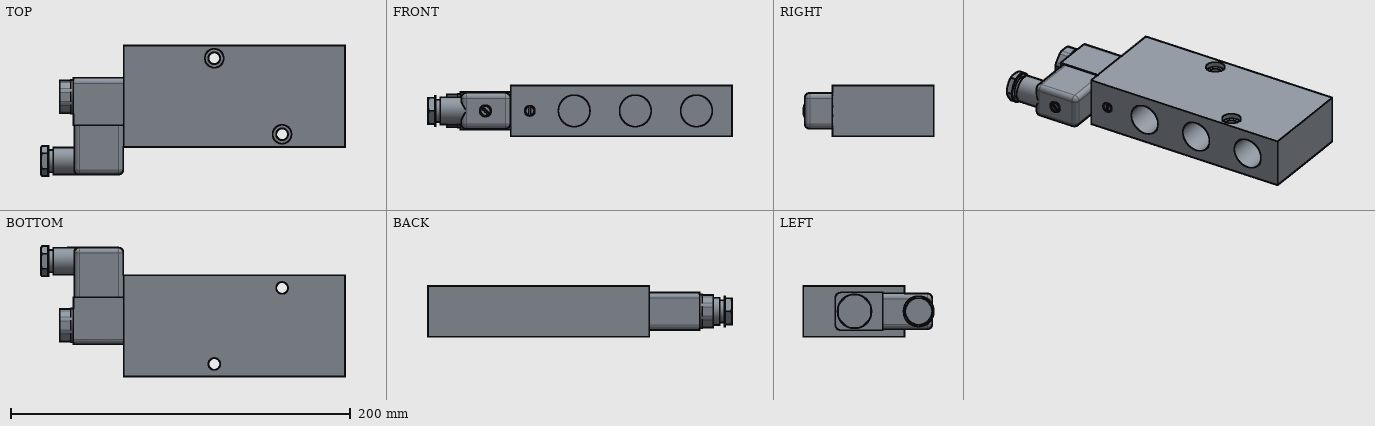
import cadquery as cq
import math


body_length = 130.3
body_width = 59.8
body_height = 30.0

port_radius = 9.3
port_depth = 21.5
port_pitch = 36.0
first_port_x = 37.5
port_count = 3

mount_hole_radius = 3.4
mount_bore_radius = 5.5
mount_bore_depth = 3.2
mount_edge_distance = 7.5
mount_hole_x = (53.3, 93.3)

coil_length = 29.5
coil_height = 22.2
coil_near_y = 12.9
coil_far_y = 40.8
coil_edge_radius = 3.2

nut_y = 29.5
nut_radius = 10.0
nut_flat_distance = 9.7
nut_flat_count = 8
nut_length = 6.6
nut_collar_length = 1.6

plug_length = 29.0
plug_gap = 0.2
plug_height = 21.1
plug_near_y = -16.3
plug_edge_radius = 3.0

gland_radius = 8.0
gland_end_x = -41.5
neck_radius = 6.6
neck_length = 2.5
washer_radius = 9.0
washer_length = 0.5
cap_end_x = -48.7
cap_side_count = 6
cap_face_radius = 7.9
cap_chamfer_angle = 30.0

screw_gap = 0.5
screw_slot_width = 1.0
screw_depth = 0.9
plug_screw_x = -14.9
plug_screw_radius = 3.4
plug_slot_angle = 45.0
body_screw_x = 11.3
body_screw_radius = 3.0
body_slot_angle = 90.0


def box(x_range, y_range, height):
    """Box spanning the given X and Y ranges, centred on mid-height."""
    (x0, x1), (y0, y1) = x_range, y_range
    return (
        cq.Workplane("XY")
        .box(x1 - x0, y1 - y0, height, centered=(False, False, True))
        .translate((x0, y0, 0))
    )


def rod(x0, x1, y, radius):
    """Cylinder along X at mid-height."""
    return cq.Workplane("YZ", origin=(x0, y, 0)).circle(radius).extrude(x1 - x0)


def make_body():
    body = box((0, body_length), (0, body_width), body_height)
    for i in range(port_count):
        port = (
            cq.Workplane("XZ", origin=(first_port_x + i * port_pitch, 0, 0))
            .circle(port_radius)
            .extrude(-port_depth)
        )
        body = body.cut(port)
    mount_hole_y = (body_width - mount_edge_distance, mount_edge_distance)
    return (
        body.faces(">Z")
        .workplane(origin=(0, 0, body_height / 2))
        .pushPoints(list(zip(mount_hole_x, mount_hole_y)))
        .cboreHole(2 * mount_hole_radius, 2 * mount_bore_radius, mount_bore_depth)
    )


def make_coil():
    coil = box((-coil_length, 0), (coil_near_y, coil_far_y), coil_height)
    return coil.edges("|X and >Y").fillet(coil_edge_radius)


def make_coil_nut():
    collar_x = -coil_length - nut_collar_length
    end_x = collar_x - nut_length
    octagon_diameter = 2 * nut_flat_distance / math.cos(math.pi / nut_flat_count)
    octagon = (
        cq.Workplane("YZ", origin=(end_x, nut_y, 0))
        .transformed(rotate=(0, 0, 180 / nut_flat_count))
        .polygon(nut_flat_count, octagon_diameter)
        .extrude(nut_length)
    )
    nut = rod(end_x, collar_x, nut_y, nut_radius).intersect(octagon)
    return nut.union(rod(collar_x, -coil_length, nut_y, nut_radius))


def make_plug():
    plug = box((-plug_gap - plug_length, -plug_gap), (plug_near_y, coil_near_y), plug_height)
    return plug.edges("<Y or |Y").fillet(plug_edge_radius)


def make_gland():
    gland_y = plug_near_y + gland_radius
    neck_end_x = gland_end_x - neck_length
    washer_end_x = neck_end_x - washer_length
    cap_length = washer_end_x - cap_end_x

    barrel = rod(gland_end_x, -plug_length / 2, gland_y, gland_radius)
    neck = rod(neck_end_x, gland_end_x, gland_y, neck_radius)
    washer = rod(washer_end_x, neck_end_x, gland_y, washer_radius)
    hexagon = (
        cq.Workplane("YZ", origin=(cap_end_x, gland_y, 0))
        .polygon(cap_side_count, 2 * washer_radius)
        .extrude(cap_length)
    )
    chamfer_width = washer_radius - cap_face_radius
    chamfer_depth = chamfer_width * math.tan(math.radians(cap_chamfer_angle))
    blank = (
        rod(cap_end_x, washer_end_x, gland_y, washer_radius)
        .faces("<X")
        .chamfer(chamfer_depth, chamfer_width)
    )
    return barrel.union(neck).union(washer).union(hexagon.intersect(blank))


def screw_recess(x, face_y, radius, slot_angle):
    """Material removed around and across a flush slotted screw head."""
    face = cq.Workplane("XZ", origin=(x, face_y, 0))
    ring = face.circle(radius).circle(radius - screw_gap).extrude(-screw_depth)
    slot = (
        face.transformed(rotate=(0, 0, slot_angle))
        .rect(2 * radius - screw_gap, screw_slot_width)
        .extrude(-screw_depth)
    )
    return ring.union(slot)


result = make_body()
for component in (make_coil(), make_coil_nut(), make_plug(), make_gland()):
    result = result.union(component)
result = result.cut(screw_recess(plug_screw_x, plug_near_y, plug_screw_radius, -plug_slot_angle))
result = result.cut(screw_recess(body_screw_x, 0, body_screw_radius, body_slot_angle))